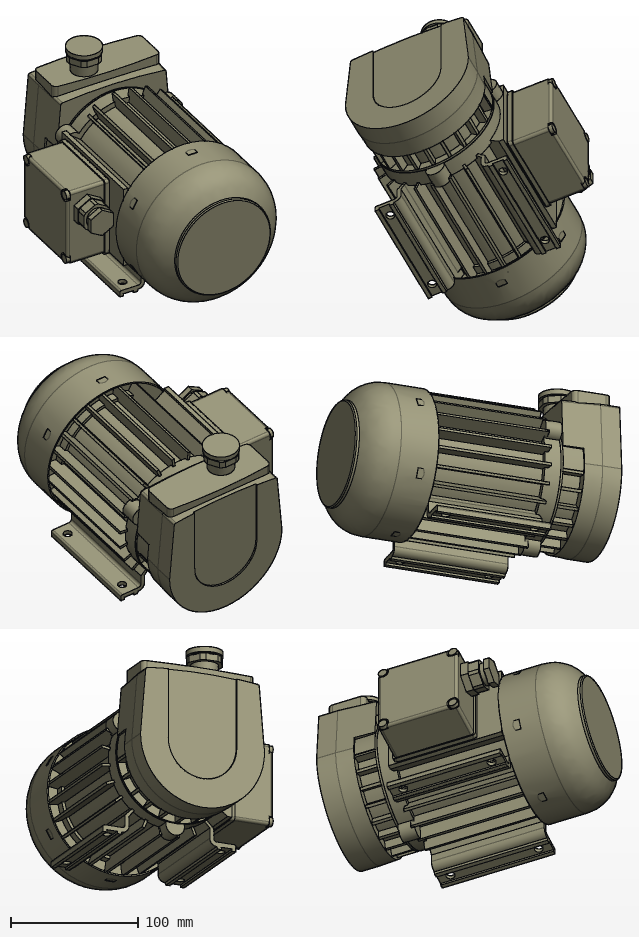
import cadquery as cq
import math


HEAD_PARTING_X = 16.2
HEAD_SKIRT_END_X = 31.2
HEAD_END_X = 48.5
FLANGE_START_X = 50.4
FIN_START_X = 61.3
CORE_START_X = 63.9
SHROUD_START_X = 157.0
DOME_START_X = 188.7
CAP_START_X = 217.0
MOTOR_END_X = 220.12

ROOT_OVERLAP = 2.0

HEAD_RADIUS = 53.8
HEAD_SHOULDER_Y = 49.2
HEAD_SHOULDER_Z = 55.4
HEAD_CROWN_Z = 58.2
HEAD_CORNER_RADIUS = 2.0
HEAD_DRAFT = 2.5
HEAD_WALL_BOTTOM_Z = 13.5
HEAD_DRUM_BOTTOM_Z = -6.0
PANEL_RADIUS = 29.75
PANEL_DEPTH = 1.5
HEAD_FIN_COUNT = 22
HEAD_FIN_ROOT_RADIUS = 44.5
HEAD_FIN_TIP_RADIUS = 51.6
HEAD_FIN_THICKNESS = 2.5

COVER_TOP_Z = 64.0
COVER_BOTTOM_Z = 50.0
COVER_FRONT_X = 5.2
COVER_BACK_X = 41.2
COVER_END_INSET = 2.5
COVER_HALF_LENGTH = 48.5
COVER_CORNER_RADIUS = 4.0
NOZZLE_X = 28.0
NOZZLE_Y = -14.8
NOZZLE_STEM_DIAMETER = 22.0
NOZZLE_NUT_FLATS = 27.3
NOZZLE_NUT_DIAMETER = 29.2
NOZZLE_NUT_BOTTOM_Z = 75.0
NOZZLE_NUT_TOP_Z = 80.6
NOZZLE_CAP_DIAMETER = 29.3
NOZZLE_CAP_BOTTOM_Z = 81.8
NOZZLE_TOP_Z = 86.02
NOZZLE_NECK_DIAMETER = 25.0

FLANGE_RADIUS = 51.8
FLANGE_NECK_RADIUS = 51.4
BOSS_CIRCLE_RADIUS = 53.0
BOSS_RADIUS = 8.1
BOSS_COUNT = 3

CORE_RADIUS = 46.9
REAR_RING_RADIUS = 49.5
REAR_RING_START_X = 155.8
FIN_TIP_RADIUS = 59.0
FIN_THICKNESS = 2.2
FIN_PITCH = 15.0
FIN_COUNT = 24
PLAIN_SECTOR = (108.0, 236.0)
RIDGE_OUTLINE = ((-18.6, 42.5), (-24.8, 52.8), (-26.5, 51.3), (-22.5, 40.0))
LOW_RIB_ANGLE = 124.0
LOW_RIB_TIP_RADIUS = 54.0

SHROUD_RADIUS = 61.25
SHROUD_WALL = 1.2
SHROUD_MOUTH_DEPTH = 6.0
CAP_RIM_RADIUS = 43.0
CAP_CHAMFER = 1.0
LATCH_COUNT = 6
LATCH_START_X = 166.4
LATCH_LENGTH = 5.7
LATCH_WIDTH = 8.2
LATCH_DEPTH = 0.5

FOOT_BASE_Z = -63.0
FOOT_PAD_HEIGHT = 1.9
FOOT_TOP_Z = -57.3
FOOT_OUTER_Y = 57.7
FOOT_LEG_OUTER_Y = 38.5
FOOT_LEG_INNER_Y = 35.0
FOOT_PAD_WIDTH = 3.4
FOOT_INNER_PAD_Y = 45.2
FOOT_BEND_RADIUS = 6.0
FOOT_KNEE_Z = -46.5
FOOT_INNER_BEND_RADIUS = 2.5
FOOT_EDGE_RADIUS = 1.5
FOOT_SLANT = 11.5
FOOT_HOLE_DIAMETER = 7.0
FOOT_HOLE_Y = 49.3
FOOT_HOLE_INSET = 10.4

PLATE_TOP_Z = 36.8
PLATE_BOTTOM_Z = -34.7
PLATE_INNER_Y = -50.4
PLATE_OUTER_Y = -54.4
PEDESTAL_INNER_Y = -36.0
PEDESTAL_HALF_HEIGHT = 24.0
OVERALL_WIDTH = 154.7
BOX_CENTER_X = 101.8
BOX_FLANGE_INNER_Y = -55.6
BOX_FLANGE_OUTER_Y = -59.4
BOX_OUTER_Y = SHROUD_RADIUS - OVERALL_WIDTH
BOX_FLANGE_WIDTH = 70.2
BOX_FLANGE_HEIGHT = 69.6
BOX_WIDTH = 67.4
BOX_HEIGHT = 67.4
BOX_CORNER_RADIUS = 2.5
BOX_RIM_RADIUS = 2.3
SCREW_INSET = 4.0
SCREW_RADIUS = 3.7
SCREW_POCKET_RADIUS = 4.9
SCREW_POCKET_DEPTH = 3.4

GLAND_Y = -75.0
GLAND_Z = 13.5
GLAND_BASE_CORNERS = 27.5
GLAND_BASE_END_X = 141.7
GLAND_BODY_FLATS = 22.9
GLAND_BODY_DIAMETER = 24.9
GLAND_BODY_END_X = 150.4
GLAND_NECK_DIAMETER = 18.5
GLAND_NECK_END_X = 154.2
GLAND_NUT_CORNERS = 23.8
GLAND_END_X = 159.2

HEX_FLATS_TO_CORNERS = 2 / math.sqrt(3)


def cross_section(x):
    """Workplane across the motor axis: local x is Y, local y is Z."""
    return cq.Workplane("YZ", origin=(x, 0, 0))


def block(x0, x1, y0, y1, z0, z1):
    return cq.Workplane("XY").box(x1 - x0, y1 - y0, z1 - z0, centered=False).translate((x0, y0, z0))


def axial_cylinder(radius, x0, x1):
    return cross_section(x0).circle(radius).extrude(x1 - x0)


def radial_fin(angle, root, tip, thickness, x0, x1):
    """Flat fin pointing away from the axis; angle runs from +Y towards +Z."""
    fin = block(x0, x1, root, tip, -thickness / 2, thickness / 2)
    return fin.rotate((0, 0, 0), (1, 0, 0), angle)


def trimmed_hexagon(workplane, flats, diameter, length):
    """Hexagonal prism with its corners turned down to a diameter, corners on local x."""
    hexagon = workplane.polygon(6, flats * HEX_FLATS_TO_CORNERS).extrude(length)
    return hexagon.intersect(workplane.circle(diameter / 2).extrude(length))


def head_outline(x):
    return (
        cross_section(x)
        .moveTo(-HEAD_RADIUS, 0)
        .threePointArc((0, -HEAD_RADIUS), (HEAD_RADIUS, 0))
        .lineTo(HEAD_SHOULDER_Y, HEAD_SHOULDER_Z)
        .threePointArc((0, HEAD_CROWN_Z), (-HEAD_SHOULDER_Y, HEAD_SHOULDER_Z))
        .close()
    )


def round_top_corners(section):
    """Round the two lengthwise edges where the sides meet the crown."""

    def is_top_corner(edge):
        box = edge.BoundingBox()
        return box.xlen > HEAD_PARTING_X / 2 and box.zmin > HEAD_SHOULDER_Z / 2

    return section.edges().filter(is_top_corner).fillet(HEAD_CORNER_RADIUS)


def pump_head():
    front = head_outline(0).extrude(HEAD_PARTING_X)
    rear = head_outline(HEAD_PARTING_X).extrude(HEAD_END_X - HEAD_PARTING_X, taper=HEAD_DRAFT)
    open_underside = block(
        HEAD_SKIRT_END_X, HEAD_END_X, -HEAD_RADIUS, HEAD_RADIUS, -HEAD_RADIUS, HEAD_WALL_BOTTOM_Z
    )
    panel = (
        cross_section(0)
        .moveTo(-PANEL_RADIUS, HEAD_CROWN_Z)
        .lineTo(-PANEL_RADIUS, 0)
        .threePointArc((0, -PANEL_RADIUS), (PANEL_RADIUS, 0))
        .lineTo(PANEL_RADIUS, HEAD_CROWN_Z)
        .close()
        .extrude(PANEL_DEPTH)
    )
    head = round_top_corners(front).union(round_top_corners(rear)).cut(open_underside).cut(panel)
    head = head.union(axial_cylinder(HEAD_FIN_ROOT_RADIUS, HEAD_PARTING_X, FLANGE_START_X))
    fin_root = HEAD_FIN_ROOT_RADIUS - ROOT_OVERLAP
    for index in range(HEAD_FIN_COUNT):
        angle = -90 + index * 360 / HEAD_FIN_COUNT
        if math.sin(math.radians(angle)) * HEAD_FIN_TIP_RADIUS > HEAD_DRUM_BOTTOM_Z:
            continue
        fin = radial_fin(
            angle, fin_root, HEAD_FIN_TIP_RADIUS, HEAD_FIN_THICKNESS, HEAD_SKIRT_END_X, HEAD_END_X
        )
        head = head.union(fin)
    drum = axial_cylinder(HEAD_FIN_TIP_RADIUS, HEAD_SKIRT_END_X, HEAD_END_X)
    drum_band = block(
        HEAD_SKIRT_END_X, HEAD_END_X, -HEAD_RADIUS, HEAD_RADIUS, HEAD_DRUM_BOTTOM_Z, HEAD_WALL_BOTTOM_Z
    )
    return head.union(drum.intersect(drum_band))


def cover_plate():
    """Cover with gently bowed long sides and rounded corners."""
    front_end_x = COVER_FRONT_X + COVER_END_INSET
    back_end_x = COVER_BACK_X - COVER_END_INSET
    return (
        cq.Workplane("XY", origin=(0, 0, COVER_BOTTOM_Z))
        .moveTo(front_end_x, -COVER_HALF_LENGTH)
        .lineTo(back_end_x, -COVER_HALF_LENGTH)
        .threePointArc((COVER_BACK_X, 0), (back_end_x, COVER_HALF_LENGTH))
        .lineTo(front_end_x, COVER_HALF_LENGTH)
        .threePointArc((COVER_FRONT_X, 0), (front_end_x, -COVER_HALF_LENGTH))
        .close()
        .extrude(COVER_TOP_Z - COVER_BOTTOM_Z)
        .edges("|Z")
        .fillet(COVER_CORNER_RADIUS)
    )


def outlet_nozzle():
    def level(z):
        return cq.Workplane("XY", origin=(NOZZLE_X, NOZZLE_Y, z))

    def disc(diameter, bottom_z, top_z):
        return level(bottom_z).circle(diameter / 2).extrude(top_z - bottom_z)

    stem = disc(NOZZLE_STEM_DIAMETER, COVER_BOTTOM_Z, NOZZLE_NUT_BOTTOM_Z)
    nut_plane = level(NOZZLE_NUT_BOTTOM_Z).transformed(rotate=(0, 0, 90))
    nut_height = NOZZLE_NUT_TOP_Z - NOZZLE_NUT_BOTTOM_Z
    nut = trimmed_hexagon(nut_plane, NOZZLE_NUT_FLATS, NOZZLE_NUT_DIAMETER, nut_height)
    neck = disc(NOZZLE_NECK_DIAMETER, NOZZLE_NUT_TOP_Z, NOZZLE_CAP_BOTTOM_Z)
    cap = disc(NOZZLE_CAP_DIAMETER, NOZZLE_CAP_BOTTOM_Z, NOZZLE_TOP_Z)
    return stem.union(nut).union(neck).union(cap)


def bearing_flange():
    neck = axial_cylinder(FLANGE_NECK_RADIUS, HEAD_END_X, FLANGE_START_X)
    flange = axial_cylinder(FLANGE_RADIUS, FLANGE_START_X, CORE_START_X)
    bosses = (
        cross_section(FLANGE_START_X)
        .polarArray(BOSS_CIRCLE_RADIUS, -90, 360, BOSS_COUNT)
        .circle(BOSS_RADIUS)
        .extrude(CORE_START_X - FLANGE_START_X)
    )
    return neck.union(flange).union(bosses)


def stator():
    """Finned core; the terminal box sector carries only a ridge and a low rib."""
    fin_end_x = SHROUD_START_X + SHROUD_MOUTH_DEPTH
    fin_root = CORE_RADIUS - ROOT_OVERLAP
    body = axial_cylinder(CORE_RADIUS, CORE_START_X, fin_end_x)
    body = body.union(axial_cylinder(REAR_RING_RADIUS, REAR_RING_START_X, fin_end_x))
    for index in range(FIN_COUNT):
        angle = (index + 0.5) * FIN_PITCH
        if PLAIN_SECTOR[0] < angle < PLAIN_SECTOR[1]:
            continue
        fin = radial_fin(angle, fin_root, FIN_TIP_RADIUS, FIN_THICKNESS, FIN_START_X, fin_end_x)
        body = body.union(fin)
    ridge = cross_section(FIN_START_X).polyline(RIDGE_OUTLINE).close().extrude(fin_end_x - FIN_START_X)
    low_rib = radial_fin(
        LOW_RIB_ANGLE, fin_root, LOW_RIB_TIP_RADIUS, FIN_THICKNESS, FIN_START_X, fin_end_x
    )
    return body.union(ridge).union(low_rib)


def fan_shroud():
    dome_length = CAP_START_X - DOME_START_X
    dome_drop = SHROUD_RADIUS - CAP_RIM_RADIUS
    arc_radius = (dome_length**2 + dome_drop**2) / (2 * dome_drop)
    middle_x = dome_length / 2
    middle_radius = SHROUD_RADIUS - arc_radius + math.sqrt(arc_radius**2 - middle_x**2)
    profile = (
        cq.Workplane("XY")
        .moveTo(SHROUD_START_X, 0)
        .lineTo(SHROUD_START_X, SHROUD_RADIUS)
        .lineTo(DOME_START_X, SHROUD_RADIUS)
        .threePointArc((DOME_START_X + middle_x, middle_radius), (CAP_START_X, CAP_RIM_RADIUS))
        .lineTo(MOTOR_END_X - CAP_CHAMFER, CAP_RIM_RADIUS)
        .lineTo(MOTOR_END_X, CAP_RIM_RADIUS - CAP_CHAMFER)
        .lineTo(MOTOR_END_X, 0)
        .close()
    )
    shroud = profile.revolve(360, (0, 0, 0), (1, 0, 0))
    mouth = axial_cylinder(SHROUD_RADIUS - SHROUD_WALL, SHROUD_START_X, SHROUD_START_X + SHROUD_MOUTH_DEPTH)
    shroud = shroud.cut(mouth)
    latch_end_x = LATCH_START_X + LATCH_LENGTH
    latch = (
        cq.Workplane("XZ", origin=(0, LATCH_WIDTH / 2, 0))
        .moveTo(LATCH_START_X, SHROUD_RADIUS)
        .lineTo(latch_end_x, SHROUD_RADIUS + LATCH_DEPTH)
        .lineTo(latch_end_x, SHROUD_RADIUS - LATCH_DEPTH)
        .close()
        .extrude(LATCH_WIDTH)
    )
    for index in range(LATCH_COUNT):
        shroud = shroud.cut(latch.rotate((0, 0, 0), (1, 0, 0), index * 360 / LATCH_COUNT))
    return shroud


def mounting_foot():
    """Bent foot rail on the +Y side with two pad strips and two bolt holes."""
    web_bottom_z = FOOT_BASE_Z + FOOT_PAD_HEIGHT
    inner_pad_end_y = FOOT_INNER_PAD_Y - FOOT_PAD_WIDTH
    bend_y = FOOT_LEG_INNER_Y + FOOT_BEND_RADIUS
    bend_z = web_bottom_z + FOOT_BEND_RADIUS
    bend_shift = FOOT_BEND_RADIUS * math.sqrt(0.5)
    foot = (
        cross_section(FIN_START_X)
        .moveTo(FOOT_OUTER_Y, FOOT_TOP_Z)
        .lineTo(FOOT_OUTER_Y, FOOT_BASE_Z)
        .lineTo(FOOT_OUTER_Y - FOOT_PAD_WIDTH, FOOT_BASE_Z)
        .lineTo(FOOT_OUTER_Y - FOOT_PAD_WIDTH, web_bottom_z)
        .lineTo(FOOT_INNER_PAD_Y, web_bottom_z)
        .lineTo(FOOT_INNER_PAD_Y, FOOT_BASE_Z)
        .lineTo(inner_pad_end_y, FOOT_BASE_Z)
        .lineTo(bend_y, web_bottom_z)
        .threePointArc((bend_y - bend_shift, bend_z - bend_shift), (FOOT_LEG_INNER_Y, bend_z))
        .lineTo(FOOT_LEG_INNER_Y, FOOT_KNEE_Z)
        .lineTo(FOOT_LEG_INNER_Y - FOOT_SLANT, FOOT_KNEE_Z + FOOT_SLANT)
        .lineTo(FOOT_LEG_OUTER_Y - FOOT_SLANT, FOOT_KNEE_Z + FOOT_SLANT)
        .lineTo(FOOT_LEG_OUTER_Y, FOOT_KNEE_Z)
        .lineTo(FOOT_LEG_OUTER_Y, FOOT_TOP_Z)
        .close()
        .extrude(SHROUD_START_X - FIN_START_X)
    )
    hole_places = [
        (FIN_START_X + FOOT_HOLE_INSET, FOOT_HOLE_Y),
        (SHROUD_START_X - FOOT_HOLE_INSET, FOOT_HOLE_Y),
    ]
    holes = (
        cq.Workplane("XY", origin=(0, 0, FOOT_BASE_Z))
        .pushPoints(hole_places)
        .circle(FOOT_HOLE_DIAMETER / 2)
        .extrude(FOOT_TOP_Z - FOOT_BASE_Z)
    )
    mid_x = (FIN_START_X + SHROUD_START_X) / 2
    inner_bend = cq.NearestToPointSelector((mid_x, FOOT_LEG_OUTER_Y, FOOT_TOP_Z))
    outer_edge = cq.NearestToPointSelector((mid_x, FOOT_OUTER_Y, FOOT_TOP_Z))
    foot = foot.edges(inner_bend).fillet(FOOT_INNER_BEND_RADIUS)
    foot = foot.edges(outer_edge).fillet(FOOT_EDGE_RADIUS)
    return foot.cut(holes)


def terminal_box():
    def slab(width, height, inner_y, outer_y):
        return block(
            BOX_CENTER_X - width / 2, BOX_CENTER_X + width / 2, outer_y, inner_y, -height / 2, height / 2
        )

    plate = block(FIN_START_X, SHROUD_START_X, PLATE_OUTER_Y, PLATE_INNER_Y, PLATE_BOTTOM_Z, PLATE_TOP_Z)
    pedestal = (
        cross_section(FIN_START_X)
        .moveTo(PLATE_INNER_Y, PLATE_BOTTOM_Z)
        .lineTo(PEDESTAL_INNER_Y, -PEDESTAL_HALF_HEIGHT)
        .lineTo(PEDESTAL_INNER_Y, PEDESTAL_HALF_HEIGHT)
        .lineTo(PLATE_INNER_Y, -PLATE_BOTTOM_Z)
        .close()
        .extrude(SHROUD_START_X - FIN_START_X)
    )
    flange = slab(BOX_FLANGE_WIDTH, BOX_FLANGE_HEIGHT, BOX_FLANGE_INNER_Y, BOX_FLANGE_OUTER_Y)
    flange = flange.edges("|Y").fillet(BOX_CORNER_RADIUS)
    body = slab(BOX_WIDTH, BOX_HEIGHT, PLATE_OUTER_Y, BOX_OUTER_Y)
    body = body.edges("|Y").fillet(BOX_CORNER_RADIUS).faces("<Y").edges().fillet(BOX_RIM_RADIUS)
    screws = (
        cq.Workplane("XZ", origin=(BOX_CENTER_X, BOX_OUTER_Y, 0))
        .rect(BOX_WIDTH - 2 * SCREW_INSET, BOX_HEIGHT - 2 * SCREW_INSET, forConstruction=True)
        .vertices()
    )
    pockets = screws.circle(SCREW_POCKET_RADIUS).extrude(-SCREW_POCKET_DEPTH)
    heads = screws.circle(SCREW_RADIUS).extrude(-SCREW_POCKET_DEPTH)
    return plate.union(pedestal).union(flange).union(body).cut(pockets).union(heads)


def cable_gland():
    def station(x):
        plane = cq.Workplane("YZ", origin=(x, GLAND_Y, GLAND_Z))
        return plane.transformed(rotate=(0, 0, 90))

    start_x = BOX_CENTER_X + BOX_WIDTH / 2 - ROOT_OVERLAP
    base = station(start_x).polygon(6, GLAND_BASE_CORNERS).extrude(GLAND_BASE_END_X - start_x)
    body_length = GLAND_BODY_END_X - GLAND_BASE_END_X
    body = trimmed_hexagon(station(GLAND_BASE_END_X), GLAND_BODY_FLATS, GLAND_BODY_DIAMETER, body_length)
    neck_length = GLAND_NECK_END_X - GLAND_BODY_END_X
    neck = station(GLAND_BODY_END_X).circle(GLAND_NECK_DIAMETER / 2).extrude(neck_length)
    nut = station(GLAND_NECK_END_X).polygon(6, GLAND_NUT_CORNERS).extrude(GLAND_END_X - GLAND_NECK_END_X)
    return base.union(body).union(neck).union(nut)


foot = mounting_foot()
result = (
    pump_head()
    .union(cover_plate())
    .union(outlet_nozzle())
    .union(bearing_flange())
    .union(stator())
    .union(fan_shroud())
    .union(foot)
    .union(foot.mirror("XZ"))
    .union(terminal_box())
    .union(cable_gland())
)